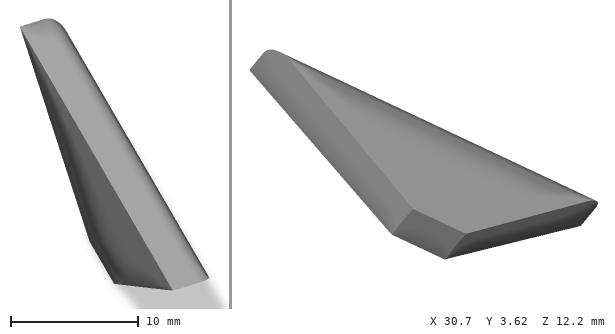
import cadquery as cq

top_width = 30.67
bottom_width = 4.9
height = 12.2
top_depth = 3.62
bottom_depth = 3.15
round_radius = 1.5

side_profile = [
    (0, 0),
    (-bottom_depth, 0),
    (-top_depth, height),
    (0, height),
]
slab = (
    cq.Workplane("YZ")
    .polyline(side_profile)
    .close()
    .extrude(top_width / 2, both=True)
)

rounded_slab = slab.edges("|X and >Z and >Y").fillet(round_radius)

front_outline = [
    (-bottom_width / 2, 0),
    (bottom_width / 2, 0),
    (top_width / 2, height),
    (-top_width / 2, height),
]
trapezoid = (
    cq.Workplane("XZ")
    .polyline(front_outline)
    .close()
    .extrude(top_depth)
)

result = rounded_slab.intersect(trapezoid)